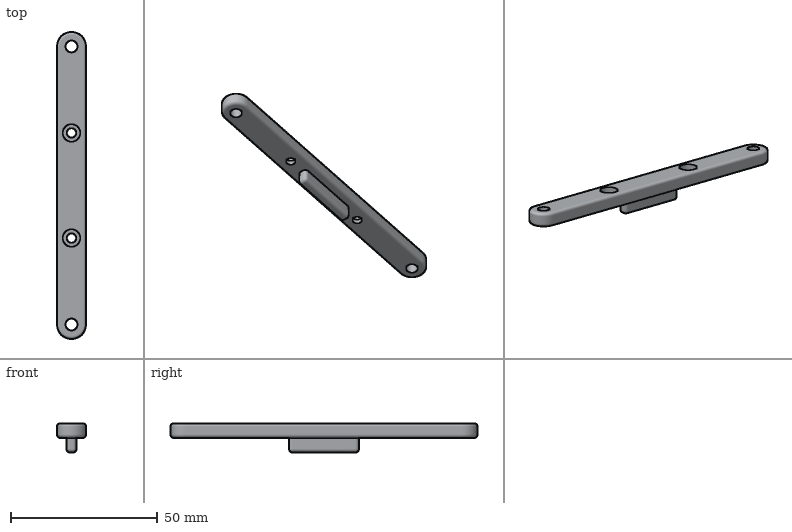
import cadquery as cq

length = 105.2
width = 10.0
bar_height = 5.0
bar_top_radius = 1.0
bar_bottom_radius = 1.3

total_height = 10.0
rail_length = 24.0
rail_width = 3.5
rail_edge_radius = 1.3
rail_height = total_height - bar_height

end_hole_diameter = 4.0
end_hole_offset = (length - width) / 2
screw_hole_diameter = 3.2
screw_head_diameter = 6.0
screw_head_depth = 3.2
screw_offset = 18.0


def make_bar():
    """Round-ended strip standing on Z = 0, with rounded top and bottom rims."""
    bar = cq.Workplane("XY").slot2D(length, width, 90).extrude(bar_height)
    bar = bar.faces(">Z").edges().fillet(bar_top_radius)
    return bar.faces("<Z").edges().fillet(bar_bottom_radius)


def make_rail():
    """Block below the bar, with its corners and lower rim rounded."""
    rail = cq.Workplane("XY").rect(rail_width, rail_length).extrude(-rail_height)
    return rail.edges("|Z or <Z").fillet(rail_edge_radius)


def along_bar(body, offset):
    """Pick the two mirrored hole centres on the top of the bar."""
    return body.faces(">Z").workplane(origin=(0, 0, 0)).pushPoints([(0, -offset), (0, offset)])


body = make_bar().union(make_rail())
body = along_bar(body, end_hole_offset).hole(end_hole_diameter)
result = along_bar(body, screw_offset).cboreHole(
    screw_hole_diameter, screw_head_diameter, screw_head_depth
)